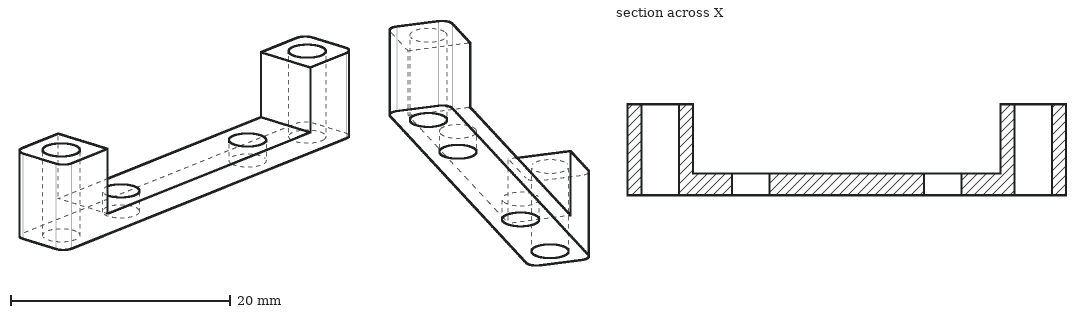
import cadquery as cq

length = 40.0
width = 6.0
height = 8.3

base_thickness = 2.0
post_length = width
corner_radius = 1.0
hole_diameter = 3.4
inner_hole_spacing = 17.5
post_hole_spacing = length - post_length

bar = cq.Workplane("XY").box(width, length, height, centered=(True, True, False))
bar = bar.edges("|Z").fillet(corner_radius)

gap_length = length - 2 * post_length
gap = (
    cq.Workplane("XY")
    .workplane(offset=base_thickness)
    .box(width, gap_length, height - base_thickness, centered=(True, True, False))
)
bracket = bar.cut(gap)

hole_centers = [
    (0, side * spacing / 2)
    for spacing in (post_hole_spacing, inner_hole_spacing)
    for side in (-1, 1)
]
holes = (
    cq.Workplane("XY")
    .pushPoints(hole_centers)
    .circle(hole_diameter / 2)
    .extrude(height)
)

result = bracket.cut(holes)